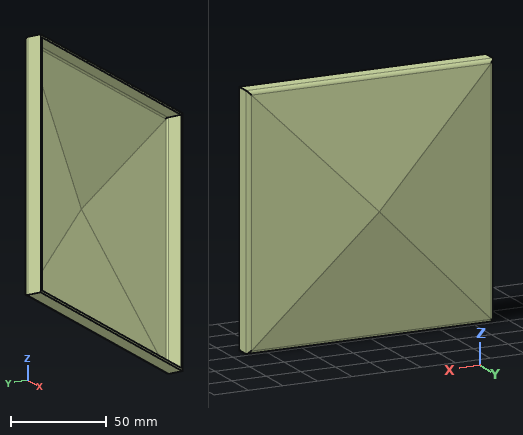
import cadquery as cq
import math

side = 143.0
height = 20.0
base_height = 10.0
wall = 1.5
edge_radius = 2.5

half_side = side / 2
slope = math.atan2(height - base_height, half_side)

centre_offset = half_side - edge_radius
centre_height = height - centre_offset * math.tan(slope) - edge_radius / math.cos(slope)


def roofed_profile(plane, inset):
    """Gable outline with rounded eaves, offset inwards by inset."""
    radius = edge_radius - inset
    apex = height - inset / math.cos(slope)

    def arc_point(angle):
        return (
            centre_offset + radius * math.cos(angle),
            centre_height + radius * math.sin(angle),
        )

    def mirrored(point):
        return (-point[0], point[1])

    slope_angle = math.pi / 2 - slope
    eave_start = arc_point(0)
    eave_middle = arc_point(slope_angle / 2)
    eave_end = arc_point(slope_angle)
    return (
        cq.Workplane(plane)
        .moveTo(half_side - inset, 0)
        .lineTo(*eave_start)
        .threePointArc(eave_middle, eave_end)
        .lineTo(0, apex)
        .lineTo(*mirrored(eave_end))
        .threePointArc(mirrored(eave_middle), mirrored(eave_start))
        .lineTo(-(half_side - inset), 0)
        .close()
    )


def rounded_pyramid(inset):
    """Square pyramid on a straight base: two crossed gable prisms, mitred at the corners."""
    along_x = cq.Plane(origin=(0, 0, 0), xDir=(0, 0, 1), normal=(-1, 0, 0))
    half_length = half_side - inset
    prism_z = roofed_profile("XY", inset).extrude(half_length, both=True)
    prism_x = roofed_profile(along_x, inset).extrude(half_length, both=True)
    return prism_z.intersect(prism_x)


outer_body = rounded_pyramid(0)
cavity = rounded_pyramid(wall)
result = outer_body.cut(cavity)